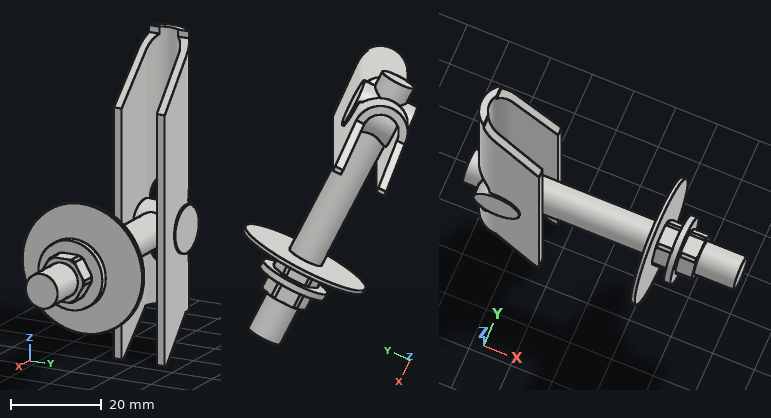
import cadquery as cq
import math

BARREL_DIAMETER = 11
BARREL_LENGTH = 13.1
ROD_DIAMETER = 8.0
ROD_START = -9.1
ROD_LENGTH = 65.0
BIG_WASHER_DIAMETER = 30.0
BIG_WASHER_THICKNESS = 0.95
BIG_WASHER_START = 35.9
SMALL_WASHER_DIAMETER = 16.0
SMALL_WASHER_THICKNESS = 1.6
NUT_ACROSS_FLATS = 10.0
NUT_CORNER_DIAMETER = 11
NUT_THICKNESS = 4.0
NUT_EDGE_CHAMFER = 0.2

NOSE_RADIUS = 6.0
WALL = 2.0
NOSE_CENTER_X = -0.4
OPEN_EDGE_X = 10.2
OPEN_HALF_WIDTH = 6.4
WING_HEIGHT = 73.5
WING_TOP = 44.55
WING_BOTTOM = WING_TOP - WING_HEIGHT
TOP_TAB_X = -3.7
TOP_SLOPE_START = 42.9
TOP_SLOPE_END = 29.1
BACK_BOTTOM = -19.4
BOTTOM_SLOPE_START_X = -0.45
BOTTOM_SLOPE_END_X = 9.1

WINDOW_HALF_HEIGHT = 11.7
WINDOW_DEPTH_X = -1.9
WINDOW_CORNER_RADIUS = 6.4

NOSE_TIP_X = NOSE_CENTER_X - NOSE_RADIUS


def cylinder_along_x(start, length, diameter):
    return cq.Workplane("YZ").workplane(offset=start).circle(diameter / 2).extrude(length)


def make_barrel():
    end_plane = cq.Workplane("XZ").workplane(offset=-BARREL_LENGTH / 2)
    return end_plane.circle(BARREL_DIAMETER / 2).extrude(BARREL_LENGTH)


def make_nut(start):
    """Hexagonal nut with two flats facing +Z and -Z, and rounded-off corners."""
    across_corners = NUT_ACROSS_FLATS / math.cos(math.pi / 6)
    hexagon = cq.Workplane("YZ").workplane(offset=start).polygon(6, across_corners).extrude(NUT_THICKNESS)
    corner_limit = cylinder_along_x(start, NUT_THICKNESS, NUT_CORNER_DIAMETER).edges("%CIRCLE")
    return hexagon.intersect(corner_limit.chamfer(NUT_EDGE_CHAMFER))


def make_bolt():
    """Rod, barrel, washers and nuts as one solid."""
    inner_nut_start = BIG_WASHER_START + BIG_WASHER_THICKNESS
    small_washer_start = inner_nut_start + NUT_THICKNESS
    outer_nut_start = small_washer_start + SMALL_WASHER_THICKNESS
    bolt = cylinder_along_x(ROD_START, ROD_LENGTH, ROD_DIAMETER).union(make_barrel())
    bolt = bolt.union(cylinder_along_x(BIG_WASHER_START, BIG_WASHER_THICKNESS, BIG_WASHER_DIAMETER))
    bolt = bolt.union(cylinder_along_x(small_washer_start, SMALL_WASHER_THICKNESS, SMALL_WASHER_DIAMETER))
    for nut_start in (inner_nut_start, outer_nut_start):
        bolt = bolt.union(make_nut(nut_start))
    return bolt


def u_prism(inset):
    """Solid U-shaped prism over the full wing height, moved inwards by inset."""
    radius = NOSE_RADIUS - inset
    open_half_width = OPEN_HALF_WIDTH - inset
    return (
        cq.Workplane("XY")
        .workplane(offset=WING_BOTTOM)
        .moveTo(OPEN_EDGE_X, open_half_width)
        .lineTo(NOSE_CENTER_X, radius)
        .threePointArc((NOSE_CENTER_X - radius, 0), (NOSE_CENTER_X, -radius))
        .lineTo(OPEN_EDGE_X, -open_half_width)
        .close()
        .extrude(WING_HEIGHT)
    )


def make_side_outline():
    """Block with the side outline of the wing, wider than the wing."""
    points = [
        (NOSE_TIP_X, BACK_BOTTOM),
        (NOSE_TIP_X, WING_TOP),
        (TOP_TAB_X, WING_TOP),
        (TOP_TAB_X, TOP_SLOPE_START),
        (OPEN_EDGE_X, TOP_SLOPE_END),
        (OPEN_EDGE_X, WING_BOTTOM),
        (BOTTOM_SLOPE_END_X, WING_BOTTOM),
        (BOTTOM_SLOPE_START_X, BACK_BOTTOM),
    ]
    return cq.Workplane("XZ").polyline(points).close().extrude(2 * OPEN_HALF_WIDTH, both=True)


def make_window():
    """Cutter for the window, with its two deep corners rounded."""
    depth = 2 * NOSE_RADIUS
    return (
        cq.Workplane("XY")
        .box(depth, 4 * NOSE_RADIUS, 2 * WINDOW_HALF_HEIGHT)
        .edges("|Y and >X")
        .fillet(WINDOW_CORNER_RADIUS)
        .translate((WINDOW_DEPTH_X - depth / 2, 0, 0))
    )


def make_wing():
    channel = u_prism(0).cut(u_prism(WALL))
    return channel.intersect(make_side_outline()).cut(make_window()).cut(make_barrel())


bolt = make_bolt()
wing = make_wing()

result = cq.Compound.makeCompound([bolt.val(), wing.val()])